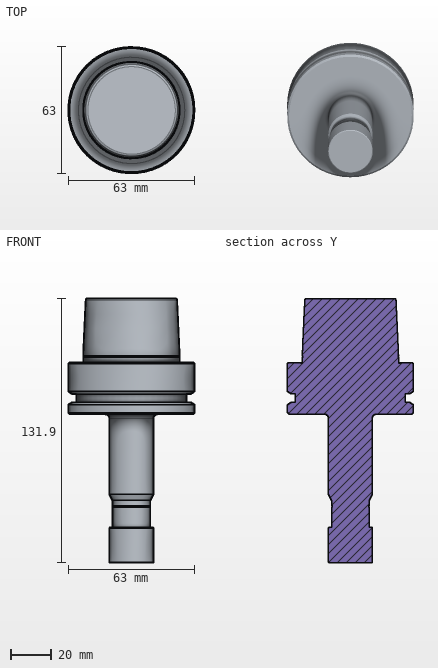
import cadquery as cq
import math

total_length = 131.9

taper_top_radius = 22.8
taper_base_radius = 24.1
taper_base_z = 103.1
taper_edge_fillet = 1.0
collar_groove_width = 0.7
collar_groove_depth = 0.3

flange_radius = 31.5
flange_top_z = 100.0
flange_bottom_z = 74.0
flange_top_chamfer = 0.7
flange_bottom_chamfer = 0.9
face_relief_radius = 26.5
face_relief_depth = 0.3

groove_radius = 27.6
groove_top_z = 84.2
groove_bottom_z = 80.2
shoulder_height = 1.3
shoulder_width = 2.0

shank_radius = 11.1
shank_root_fillet = 1.8
shank_cone_top_z = 34.3
shank_cone_bottom_z = 31.1
neck_radius = 9.5
joint_z = 28.2
joint_groove_width = 0.8
joint_groove_depth = 0.3
head_length = 17.8
head_chamfer = 0.4


def turned(points):
    """Revolve a closed (radius, z) outline around the Z axis."""
    return cq.Workplane("XZ").polyline(points).close().revolve(360, (0, 0, 0), (0, 1, 0))


def cylinder(radius, bottom_z, top_z):
    return cq.Workplane("XY").workplane(offset=bottom_z).circle(radius).extrude(top_z - bottom_z)


def ring(outer_radius, inner_radius, bottom_z, top_z):
    outer = cylinder(outer_radius, bottom_z, top_z)
    return outer.cut(cylinder(inner_radius, bottom_z, top_z))


def make_plug():
    plug = turned([
        (0, flange_bottom_z),
        (taper_base_radius, flange_bottom_z),
        (taper_base_radius, taper_base_z),
        (taper_top_radius, total_length),
        (0, total_length),
    ]).faces(">Z").edges().fillet(taper_edge_fillet)
    groove = ring(
        flange_radius,
        taper_base_radius - collar_groove_depth,
        taper_base_z - collar_groove_width,
        taper_base_z,
    )
    return plug.cut(groove)


def make_flange():
    shoulder_radius = flange_radius - shoulder_width
    return turned([
        (0, flange_bottom_z),
        (flange_radius - flange_bottom_chamfer, flange_bottom_z),
        (flange_radius, flange_bottom_z + flange_bottom_chamfer),
        (flange_radius, groove_bottom_z - shoulder_height),
        (shoulder_radius, groove_bottom_z),
        (groove_radius, groove_bottom_z),
        (groove_radius, groove_top_z),
        (shoulder_radius, groove_top_z),
        (flange_radius, groove_top_z + shoulder_height),
        (flange_radius, flange_top_z - flange_top_chamfer),
        (flange_radius - flange_top_chamfer, flange_top_z),
        (face_relief_radius, flange_top_z),
        (taper_base_radius, flange_top_z - face_relief_depth),
        (0, flange_top_z - face_relief_depth),
    ])


def make_shank():
    """Stepped shank whose root flares into the flange with a concave fillet."""
    root_z = flange_bottom_z - shank_root_fillet
    root_radius = shank_radius + shank_root_fillet
    fillet_inset = shank_root_fillet * (1 - math.sqrt(0.5))
    shaft = (
        cq.Workplane("XZ")
        .moveTo(0, head_length)
        .lineTo(neck_radius, head_length)
        .lineTo(neck_radius, shank_cone_bottom_z)
        .lineTo(shank_radius, shank_cone_top_z)
        .lineTo(shank_radius, root_z)
        .threePointArc(
            (shank_radius + fillet_inset, flange_bottom_z - fillet_inset),
            (root_radius, flange_bottom_z),
        )
        .lineTo(0, flange_bottom_z)
        .close()
        .revolve(360, (0, 0, 0), (0, 1, 0))
    )
    joint_groove = ring(
        shank_radius,
        neck_radius - joint_groove_depth,
        joint_z - joint_groove_width / 2,
        joint_z + joint_groove_width / 2,
    )
    head = cylinder(shank_radius, 0, head_length).edges().chamfer(head_chamfer)
    return shaft.cut(joint_groove).union(head)


result = make_flange().union(make_plug()).union(make_shank())